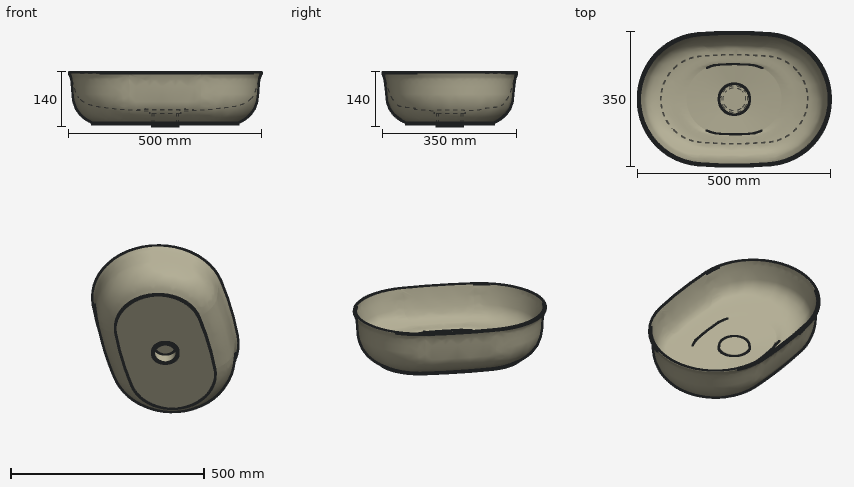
import cadquery as cq
import math

RIM_HALF_X = 250.0
RIM_HALF_Y = 175.0
TOP_Z = 140.0

END_ARC_ANGLE = math.radians(85)

FOOT_BOTTOM_Z = 5.0
FOOT_TOP_Z = 9.5
FOOT_INSET = 60.5

RIM_THICKNESS = 5.5
RIM_HEIGHT = 3.0
RIM_ROUNDING = 2.5
RIM_BOTTOM_Z = TOP_Z - RIM_HEIGHT

OUTER_WALL = [(FOOT_TOP_Z, 59.0), (16.5, 46.5), (35.0, 25.5), (80.0, 9.5), (RIM_BOTTOM_Z, 0.0)]

FLOOR_CENTRE = (32.5, 30.0, 38.5)
FLOOR_RING = (123.0, 91.0, 44.0)
FLOOR_EDGE = (166.0, 118.0, 49.0)
BOWL_CORNER = (200.0, 139.0, 57.0)

INNER_WALL = [(77.0, 23.0), (95.0, 15.5), (114.0, 10.5), (RIM_BOTTOM_Z, RIM_THICKNESS)]

OPENING_RADIUS = 40.5
OPENING_ROUNDING = 4.0
CAP_SEAT_Z = 32.5
CAP_TOP_Z = 41.5
CAP_CLEARANCE = 1.0
CAP_RADIUS = OPENING_RADIUS - CAP_CLEARANCE
CAP_ROUNDING = 2.5
TUBE_RADIUS = 34.5
TUBE_WALL = 5.0


def oval(half_x, half_y, z):
    """Closed oval of two round ends joined tangentially by two wide side arcs."""
    reach_ratio = math.cos(END_ARC_ANGLE) / (1 - math.sin(END_ARC_ANGLE))
    end_radius = (reach_ratio * half_y - half_x) / (reach_ratio - 1)
    join_x = half_x - end_radius + end_radius * math.cos(END_ARC_ANGLE)
    join_y = end_radius * math.sin(END_ARC_ANGLE)
    return (
        cq.Workplane("XY", origin=(0, 0, z))
        .moveTo(join_x, -join_y)
        .threePointArc((half_x, 0), (join_x, join_y))
        .threePointArc((0, half_y), (-join_x, join_y))
        .threePointArc((-half_x, 0), (-join_x, -join_y))
        .threePointArc((0, -half_y), (join_x, -join_y))
        .close()
    )


def inset_oval(inset, z):
    """The rim outline moved inwards by a constant distance."""
    return oval(RIM_HALF_X - inset, RIM_HALF_Y - inset, z)


def loft(outlines):
    """Smooth solid through a stack of outlines."""
    return cq.Workplane(cq.Solid.makeLoft([outline.wire().val() for outline in outlines]))


def cylinder(radius, bottom_z, top_z):
    return cq.Workplane("XY", origin=(0, 0, bottom_z)).circle(radius).extrude(top_z - bottom_z)


def make_rim():
    band = inset_oval(0, RIM_BOTTOM_Z).extrude(RIM_HEIGHT)
    band = band.cut(inset_oval(RIM_THICKNESS, RIM_BOTTOM_Z).extrude(RIM_HEIGHT))
    return band.faces(">Z").edges().fillet(RIM_ROUNDING)


def round_opening(basin):
    """Round the edge where the drain opening meets the bowl floor."""
    reach = OPENING_RADIUS + CAP_CLEARANCE
    opening_edge = cq.selectors.BoxSelector(
        (-reach, -reach, FLOOR_CENTRE[-1]),
        (reach, reach, FLOOR_RING[-1]),
        boundingbox=True,
    )
    return basin.edges(opening_edge).fillet(OPENING_ROUNDING)


def make_basin():
    body = loft([inset_oval(inset, z) for z, inset in OUTER_WALL])
    foot = inset_oval(FOOT_INSET, FOOT_BOTTOM_Z).extrude(FOOT_TOP_Z - FOOT_BOTTOM_Z)
    floor_dip = loft([oval(*FLOOR_CENTRE), oval(*FLOOR_RING)])
    bowl = loft(
        [oval(*FLOOR_RING), oval(*FLOOR_EDGE), oval(*BOWL_CORNER)]
        + [inset_oval(inset, z) for z, inset in INNER_WALL]
    )
    basin = body.union(foot).cut(bowl).cut(floor_dip).union(make_rim())
    basin = basin.cut(cylinder(OPENING_RADIUS, CAP_SEAT_Z, TOP_Z))
    basin = round_opening(basin)
    return basin.cut(cylinder(TUBE_RADIUS, 0, CAP_SEAT_Z))


def make_drain_tube():
    return cylinder(TUBE_RADIUS, 0, CAP_SEAT_Z).cut(cylinder(TUBE_RADIUS - TUBE_WALL, 0, CAP_SEAT_Z))


def make_cap():
    return cylinder(CAP_RADIUS, CAP_SEAT_Z, CAP_TOP_Z).faces(">Z").edges().fillet(CAP_ROUNDING)


basin = make_basin()
drain_tube = make_drain_tube()
cap = make_cap()

result = cq.Compound.makeCompound([basin.val(), drain_tube.val(), cap.val()])